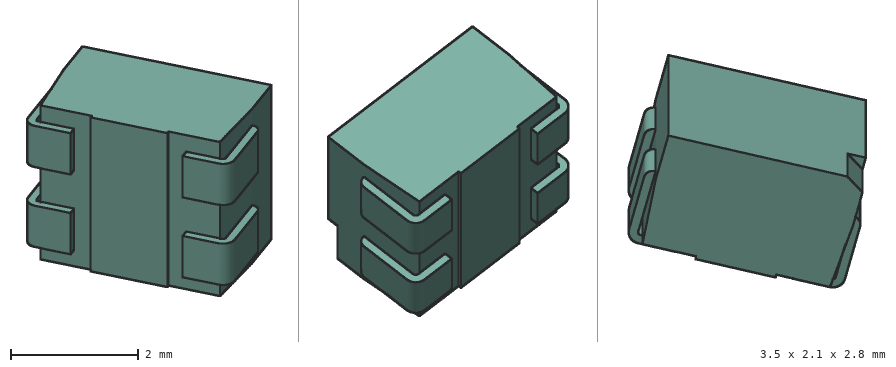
import cadquery as cq
import math

housing_width = 3.2
housing_height = 2.8
block_depth = 1.95
straight_side_depth = 0.8
draft_angle = 4.0

pad_width = 1.3
pad_thickness = 0.05

chamfer_width_x = 0.3
chamfer_width_y = 0.21
chamfer_height = 0.8

terminal_thickness = 0.15
terminal_height = 0.75
terminal_pitch = 1.45
foot_length = 0.8
inner_bend_radius = 0.05
outer_bend_radius = inner_bend_radius + terminal_thickness
tip_radius = terminal_thickness

back_y = (block_depth + terminal_thickness) / 2
mount_face_y = back_y - block_depth
draft_start_y = back_y - straight_side_depth
half_width = housing_width / 2
bottom_z = -housing_height / 2


def make_housing():
    """Block with drafted sides, a raised pad and a chamfer on the lower left back edge."""
    draft_inset = (draft_start_y - mount_face_y) * math.tan(math.radians(draft_angle))
    drafted_half_width = half_width - draft_inset
    block = (
        cq.Workplane("XY", origin=(0, 0, bottom_z))
        .moveTo(-half_width, back_y)
        .lineTo(half_width, back_y)
        .lineTo(half_width, draft_start_y)
        .lineTo(drafted_half_width, mount_face_y)
        .lineTo(pad_width / 2, mount_face_y)
        .lineTo(pad_width / 2, mount_face_y - pad_thickness)
        .lineTo(-pad_width / 2, mount_face_y - pad_thickness)
        .lineTo(-pad_width / 2, mount_face_y)
        .lineTo(-drafted_half_width, mount_face_y)
        .lineTo(-half_width, draft_start_y)
        .close()
        .extrude(housing_height)
    )
    corner_wedge = (
        cq.Workplane("XY", origin=(0, 0, bottom_z))
        .moveTo(-half_width, back_y)
        .lineTo(-half_width + chamfer_width_x, back_y)
        .lineTo(-half_width, back_y - chamfer_width_y)
        .close()
        .extrude(chamfer_height)
    )
    return block.cut(corner_wedge)


def make_terminal(side, center_z):
    """Bent strip with a rounded tip: side is -1 for left and 1 for right."""
    inner_x = half_width
    outer_x = inner_x + terminal_thickness
    outer_y = mount_face_y - terminal_thickness
    foot_end_x = outer_x - foot_length
    strip = (
        cq.Workplane("XY", origin=(0, 0, center_z - terminal_height / 2))
        .moveTo(side * inner_x, draft_start_y)
        .radiusArc((side * outer_x, draft_start_y - tip_radius), side * tip_radius)
        .lineTo(side * outer_x, outer_y + outer_bend_radius)
        .radiusArc((side * (outer_x - outer_bend_radius), outer_y), side * outer_bend_radius)
        .lineTo(side * foot_end_x, outer_y)
        .lineTo(side * foot_end_x, mount_face_y)
        .lineTo(side * (inner_x - inner_bend_radius), mount_face_y)
        .radiusArc((side * inner_x, mount_face_y + inner_bend_radius), -side * inner_bend_radius)
        .close()
    )
    return strip.extrude(terminal_height)


housing = make_housing()
terminals = [
    make_terminal(side, row * terminal_pitch / 2)
    for side in (-1, 1)
    for row in (-1, 1)
]

result = cq.Compound.makeCompound(
    [housing.val()] + [terminal.val() for terminal in terminals]
)